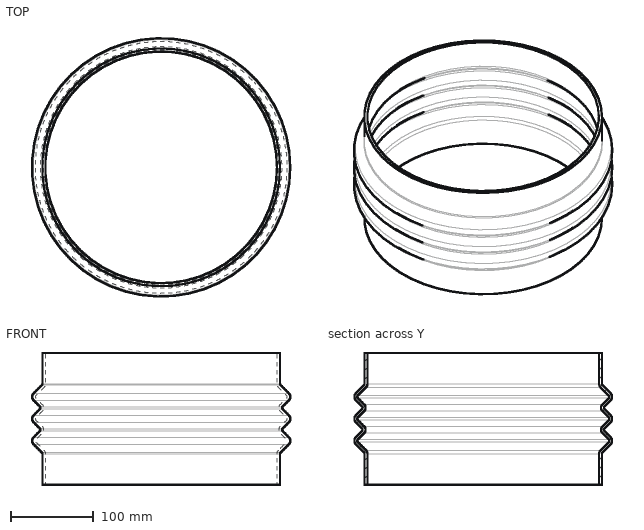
import cadquery as cq
import math

crest_radius = 156.5
cuff_radius = 144.0
wall = 3.9
height = 160.0
pitch = 26.5
crest_count = 3
crest_round = 6.0
valley_round = 1.5
cuff_round = 2.2

sharp_crest_radius = crest_radius + crest_round * (math.sqrt(2) - 1)


def sharp_corners(inset):
    """Corners (radius, z, rounding) from bottom to top, inset into the wall."""
    cuff = cuff_radius - inset
    crest = sharp_crest_radius - inset * math.sqrt(2)
    valley = crest - pitch / 2
    top_crest_z = pitch * (crest_count - 1) / 2
    cuff_z = top_crest_z + crest - cuff

    corners = [(cuff, -cuff_z, cuff_round + inset)]
    for i in range(crest_count):
        z = i * pitch - top_crest_z
        corners.append((crest, z, crest_round - inset))
        if i < crest_count - 1:
            corners.append((valley, z + pitch / 2, valley_round + inset))
    corners.append((cuff, cuff_z, cuff_round + inset))
    return corners


def bellows_body(inset):
    """Solid of revolution about Z whose surface lies inset below the outside."""
    corners = sharp_corners(inset)
    cuff = cq.Vector(cuff_radius - inset, 0)
    half_height = cq.Vector(0, height / 2)
    start = cuff - half_height
    end = cuff + half_height
    points = [start] + [cq.Vector(r, z) for r, z, _ in corners] + [end]

    profile = cq.Workplane("XZ").moveTo(0, start.y).lineTo(start.x, start.y)
    for i, (_, _, rounding) in enumerate(corners, start=1):
        corner = points[i]
        back = (points[i - 1] - corner).normalized()
        ahead = (points[i + 1] - corner).normalized()
        half_angle = back.getAngle(ahead) / 2
        arc_start = corner + back * (rounding / math.tan(half_angle))
        arc_end = corner + ahead * (rounding / math.tan(half_angle))
        to_center = (back + ahead).normalized()
        arc_middle = corner + to_center * (rounding / math.sin(half_angle) - rounding)
        profile = profile.lineTo(arc_start.x, arc_start.y).threePointArc(
            (arc_middle.x, arc_middle.y), (arc_end.x, arc_end.y)
        )
    profile = profile.lineTo(end.x, end.y).lineTo(0, end.y).close()
    return profile.revolve(360, (0, 0), (0, 1))


result = bellows_body(0).cut(bellows_body(wall))